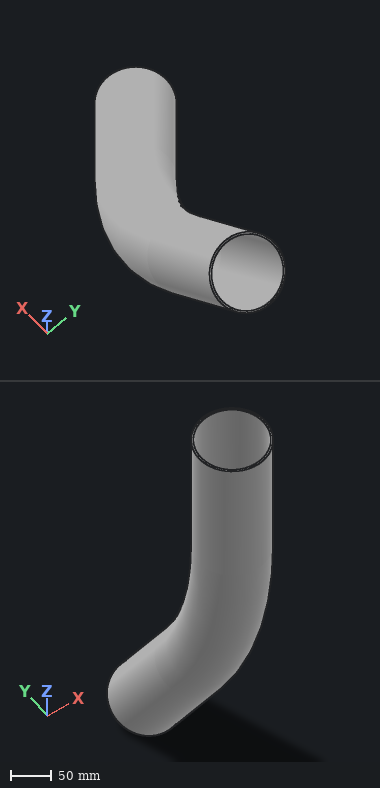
import cadquery as cq
import math

total_height = 709.5
outer_diameter = 101.5
inner_diameter = 96.0
bend_angle = 30.0
bend_radius = 6 * outer_diameter

sine = math.sin(math.radians(bend_angle))
cosine = math.cos(math.radians(bend_angle))
tilted_rim_drop = outer_diameter / 2 * sine
leg_length = (total_height - bend_radius * sine - tilted_rim_drop) / (1 + cosine)


def pipe_section(section_plane):
    """Ring between the inner and outer diameters."""
    return (
        cq.Workplane(section_plane)
        .circle(outer_diameter / 2)
        .circle(inner_diameter / 2)
    )


bend_start = cq.Plane(origin=(0, 0, total_height - leg_length))
upper_leg = pipe_section(bend_start).extrude(leg_length)

bend = pipe_section(bend_start).revolve(
    bend_angle, (0, bend_radius, 0), (1, bend_radius, 0)
)

bend_end = cq.Plane(
    origin=(
        0,
        bend_radius * (1 - cosine),
        total_height - leg_length - bend_radius * sine,
    ),
    xDir=(1, 0, 0),
    normal=(0, sine, -cosine),
)
lower_leg = pipe_section(bend_end).extrude(leg_length)

result = upper_leg.union(bend).union(lower_leg)